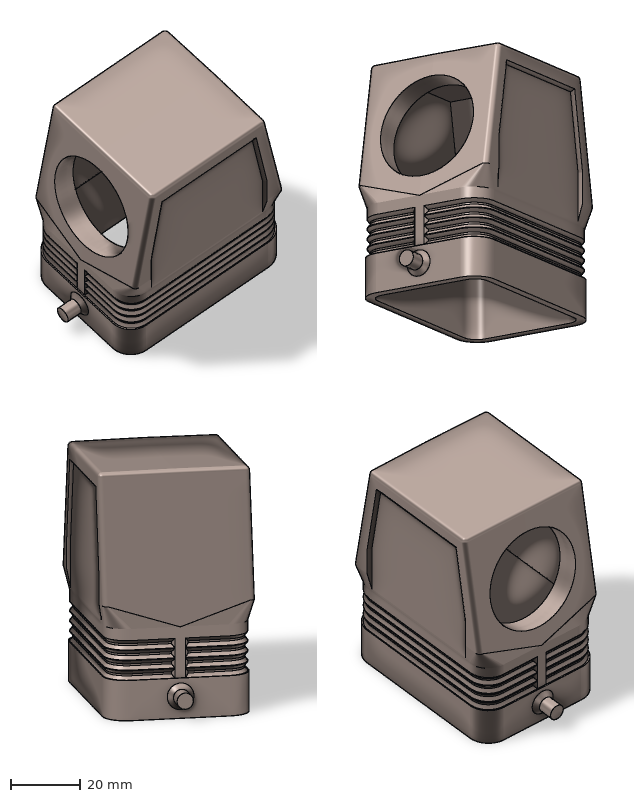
import cadquery as cq
import math

base_half_x = 21.6
base_half_y = 30.1
base_height = 12.0
neck_half_x = 21.3
neck_half_y = 29.65
neck_top = 27.1
corner_radius = 6.9

groove_count = 4
groove_pitch = 3.0
groove_depth = 0.9
groove_floor = 0.6
ridge_flat = 0.2
groove_slope = (groove_pitch - groove_floor - ridge_flat) / 2
rib_half_width = 1.6

hood_half_x = 22.5
hood_bottom = 33.7
hood_top = 72.0
hood_top_half_y = 21.7
crown = 0.15
edge_fillet = 1.45
hood_lean = (neck_half_y - hood_top_half_y) / (hood_top - neck_top)

panel_depth = 0.95
panel_wall_angle = 45
panel_top = 67.15
panel_kink = 42.85
panel_top_half_y = 17.9
panel_half_y = 22.05

entry_radius = 16.0
entry_height = 49.05
entry_wall = 7.3

lower_half_x = 19
lower_half_y = 27
lower_radius = 4.4
lower_top = 30.3
upper_half_x = 18.6
roof = 2.9
slot_half_x = 9.35
slot_depth = 4.4
slot_rounding = 3.2

pin_length = 73
pin_radius = 2.4
collar_radius = 3.95
collar_height = 1.45
pin_z = 6.6

overlap = 0.7


def hood_half_y(z):
    return hood_top_half_y + (hood_top - z) * hood_lean


def rounded_rectangle(half_x, half_y, radius):
    return cq.Sketch().rect(2 * half_x, 2 * half_y).vertices().fillet(radius)


def rounded_block(half_x, half_y, radius, bottom, top):
    outline = rounded_rectangle(half_x, half_y, radius)
    return cq.Workplane("XY").workplane(offset=bottom).placeSketch(outline).extrude(top - bottom)


def rounded_frustum(lower, upper, bottom, top):
    """Straight-sided blend between two rounded rectangles at different heights."""
    return (
        cq.Workplane("XY")
        .workplane(offset=bottom)
        .placeSketch(
            rounded_rectangle(*lower),
            rounded_rectangle(*upper).moved(cq.Location(cq.Vector(0, 0, top - bottom))),
        )
        .loft(ruled=True)
    )


def neck():
    """Neck with grooves running all round, interrupted by a rib in the middle of each end."""
    ridge = (neck_half_x, neck_half_y, corner_radius)
    floor = tuple(size - groove_depth for size in ridge)
    groove_zone_top = base_height + groove_count * groove_pitch
    body = rounded_block(*ridge, groove_zone_top, neck_top)
    for i in range(groove_count):
        floor_bottom = base_height + i * groove_pitch + groove_slope
        floor_top = floor_bottom + groove_floor
        ridge_bottom = floor_top + groove_slope
        body = body.union(rounded_frustum(ridge, floor, floor_bottom - groove_slope, floor_bottom))
        body = body.union(rounded_block(*floor, floor_bottom, floor_top))
        body = body.union(rounded_frustum(floor, ridge, floor_top, ridge_bottom))
        body = body.union(rounded_block(*ridge, ridge_bottom, ridge_bottom + ridge_flat))
    rib_root = rib_half_width + groove_depth
    rib_outline = [
        (rib_root, neck_half_y - groove_depth),
        (rib_half_width, neck_half_y),
        (-rib_half_width, neck_half_y),
        (-rib_root, neck_half_y - groove_depth),
    ]
    rib = (
        cq.Workplane("XY")
        .workplane(offset=base_height)
        .polyline(rib_outline + [(-x, -y) for x, y in rib_outline])
        .close()
        .extrude(neck_top - base_height)
    )
    return body.union(rib)


def hood_prism(bottom):
    """One half of the hood, from the middle plane to +X, with slightly drafted faces."""
    below = bottom - overlap
    draft = math.degrees(math.atan(crown / hood_half_x))
    prism = (
        cq.Workplane("YZ")
        .moveTo(-hood_half_y(below), below)
        .lineTo(hood_half_y(below), below)
        .lineTo(hood_top_half_y, hood_top)
        .lineTo(-hood_top_half_y, hood_top)
        .close()
        .extrude(hood_half_x, taper=draft)
    )
    span = 2 * base_half_y
    keep = cq.Workplane("XY").box(span, span, hood_top, centered=(True, True, False))
    return prism.intersect(keep.translate((0, 0, bottom)))


def hood():
    half = hood_prism(hood_bottom)
    half = half.edges("not(<X or <Z)").fillet(edge_fillet)

    triangle = (
        cq.Workplane("XZ")
        .moveTo(0, neck_top)
        .lineTo(hood_half_x - edge_fillet, hood_bottom)
        .lineTo(0, hood_bottom)
        .close()
        .extrude(base_half_y, both=True)
    )
    half = half.union(hood_prism(neck_top).intersect(triangle))

    shoulder = rounded_frustum(
        (neck_half_x, neck_half_y, corner_radius),
        (hood_half_x, hood_half_y(hood_bottom) - crown, edge_fillet),
        neck_top,
        hood_bottom,
    )
    return shoulder.union(half).union(half.mirror("YZ"))


def side_panel():
    """Recess with sloping walls in the +X face, running out through the shoulder below."""
    return (
        cq.Workplane("YZ")
        .workplane(offset=hood_half_x)
        .moveTo(-panel_half_y, neck_top - panel_depth)
        .lineTo(-panel_half_y, panel_kink)
        .lineTo(-panel_top_half_y, panel_top)
        .lineTo(panel_top_half_y, panel_top)
        .lineTo(panel_half_y, panel_kink)
        .lineTo(panel_half_y, neck_top - panel_depth)
        .close()
        .extrude(-panel_depth, taper=panel_wall_angle)
    )


def cable_entry():
    """Round opening square to the leaning -Y face, reaching into the cavity."""
    face = cq.Plane(
        origin=(0, -hood_half_y(entry_height), entry_height),
        xDir=(1, 0, 0),
        normal=(0, -1, hood_lean),
    )
    return cq.Workplane(face).workplane(offset=overlap).circle(entry_radius).extrude(-entry_wall - 2 * overlap)


def leaning_room(half_x, wall):
    """Space under the roof whose end walls follow the hood faces."""
    ceiling = hood_top - roof
    floor = lower_top - overlap
    return (
        cq.Workplane("YZ")
        .moveTo(wall - hood_half_y(floor), floor)
        .lineTo(hood_half_y(floor) - wall, floor)
        .lineTo(hood_half_y(ceiling) - wall, ceiling)
        .lineTo(wall - hood_half_y(ceiling), ceiling)
        .close()
        .extrude(half_x, both=True)
    )


def rear_slot():
    """Slot in the +Y wall with rounded edges where it meets the room."""
    wall_y = hood_half_y(entry_height) - entry_wall
    mouth_half_x = slot_half_x + slot_rounding
    height = hood_top - roof - lower_top
    plane = cq.Plane(
        origin=(0, wall_y, entry_height),
        xDir=(1, 0, 0),
        normal=(0, -hood_lean, 1),
    )
    outline = (
        cq.Workplane(plane)
        .moveTo(-mouth_half_x, 0)
        .radiusArc((-slot_half_x, slot_rounding), -slot_rounding)
        .lineTo(-slot_half_x, slot_depth)
        .lineTo(slot_half_x, slot_depth)
        .lineTo(slot_half_x, slot_rounding)
        .radiusArc((mouth_half_x, 0), -slot_rounding)
        .close()
    )
    slot = outline.extrude(height, both=True)
    keep = cq.Workplane("XY").box(2 * mouth_half_x, 2 * base_half_y, height, centered=(True, True, False))
    return slot.intersect(keep.translate((0, 0, lower_top)))


def locking_pin():
    """Pin and conical collar on the +Y end of the base."""
    root = lower_half_y + overlap
    tip = pin_length / 2
    return (
        cq.Workplane("XY")
        .moveTo(0, root)
        .lineTo(collar_radius, root)
        .lineTo(collar_radius, base_half_y)
        .lineTo(pin_radius, base_half_y + collar_height)
        .lineTo(pin_radius, tip)
        .lineTo(0, tip)
        .close()
        .revolve(360, (0, 0, 0), (0, 1, 0))
        .translate((0, 0, pin_z))
    )


body = rounded_block(base_half_x, base_half_y, corner_radius, 0, base_height)
body = body.union(neck()).union(hood())

panel = side_panel()
body = body.cut(panel).cut(panel.mirror("YZ"))

body = body.cut(rounded_block(lower_half_x, lower_half_y, lower_radius, 0, lower_top))
body = body.cut(leaning_room(upper_half_x, entry_wall))
body = body.cut(rear_slot())
body = body.cut(cable_entry())

pin = locking_pin()
result = body.union(pin).union(pin.mirror("XZ"))